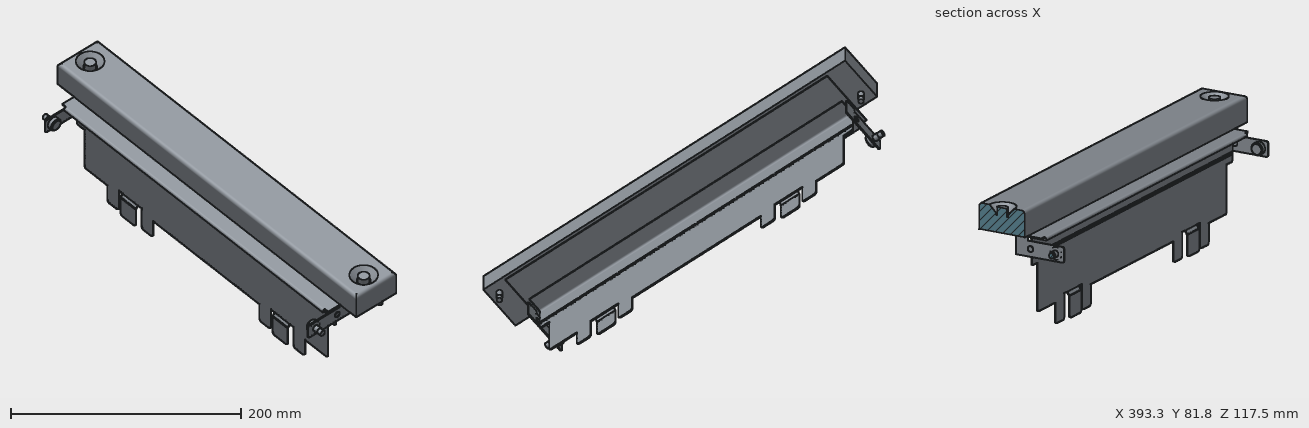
import cadquery as cq

BAR_LENGTH = 393.25
BAR_DEPTH = 46.5
BAR_HEIGHT = 24.5
BAR_TOP_RADIUS = 3.5

SINK_X = 180.0
SINK_Y = -BAR_DEPTH / 2
SINK_TOP_DIAMETER = 25.0
SINK_HOLE_DIAMETER = 12.0
SINK_DEPTH = (SINK_TOP_DIAMETER - SINK_HOLE_DIAMETER) / 2
STRAIGHT_HOLE_DEPTH = 2.0
HOLE_DEPTH = SINK_DEPTH + STRAIGHT_HOLE_DEPTH
SCREW_DIAMETER = 10.3
SCREW_TOP_DEPTH = 1.0

STUD_X = 187.2
STUD_SPACING = 24.9
STUD_DIAMETER = 5.4
STUD_LENGTH = 7.5
STUD_TIP_DIAMETER = 4.7
STUD_TIP_LENGTH = 4.7

SHEET = 1.1

SHELF_LENGTH = 350.0
SHELF_BACK_Y = -3.0
SHELF_FRONT_Y = -60.0

HEM_LENGTH = 341.0
HEM_BACK_Y = -50.5
HEM_FRONT_Y = -62.2
HEM_THICKNESS = 3.0
HEM_RADIUS = 2.2

PANEL_FRONT_Y = -47.5
PANEL_Y_RANGE = (PANEL_FRONT_Y, PANEL_FRONT_Y + SHEET)
PANEL_LEAF_BACK_Y = -31.0
PANEL_BEND_RADIUS = 2.0
PANEL_TOP_Z = -SHEET
PANEL_TOP_LENGTH = 340.0
PANEL_SHOULDER_Z = -28.5
PANEL_LENGTH = 320.0
PANEL_BOTTOM_Z = -73.5
PANEL_CORNER_RADIUS = 2.0

WINDOW_COUNT = 8
WINDOW_PITCH = PANEL_TOP_LENGTH / WINDOW_COUNT
WINDOW_BRIDGE = 2.0
WINDOW_TOP_Z = -19.3
WINDOW_HEIGHT = 2.5

TAB_GROUP_X = 100.0
TAB_OUTER_WIDTH = 15.0
TAB_MIDDLE_WIDTH = 20.0
TAB_GAP = 5.0
TAB_PITCH = (TAB_MIDDLE_WIDTH + TAB_OUTER_WIDTH) / 2 + TAB_GAP
TAB_BOTTOM_Z = -93.0
TAB_GAP_TOP_Z = -69.0
TAB_CORNER_RADIUS = 3.0
JOG_BOTTOM_Z = -72.5
JOG_OFFSET = 2.4

ARM_OUTER_X = 173.5
ARM_BACK_Y = -33.3
ARM_FRONT_Y = -81.8
ARM_TOP_Z = -5.1
ARM_BOTTOM_Z = -19.5
ARM_CORNER_RADIUS = 2.0
ARM_MIDDLE_Z = (ARM_TOP_Z + ARM_BOTTOM_Z) / 2
NECK_FRONT_Y = -45.0
ARM_RECESS_Y = -47.8
ARM_RECESS_DIAMETER = 5.5
ARM_RECESS_DEPTH = SHEET / 2

PIN_Y = -73.2
PIN_HEAD_DIAMETER = 11.6
PIN_HEAD_THICKNESS = 5.0
PIN_HEAD_CHAMFER = 1.0
PIN_DIAMETER = 6.0
PIN_STEP_X = 178.5
PIN_TIP_DIAMETER = 5.3
PIN_TIP_X = 182.8


def block(x_range, y_range, z_range):
    """Box spanning the given ranges."""
    corner = [min(r) for r in (x_range, y_range, z_range)]
    size = [abs(r[1] - r[0]) for r in (x_range, y_range, z_range)]
    return cq.Workplane("XY").box(*size, centered=False).translate(tuple(corner))


def centred(length):
    """Range of the given length about zero."""
    return (-length / 2, length / 2)


def both_ends(shape):
    """The shape together with its mirror image at the other end of the part."""
    return shape.union(shape.mirror("YZ"))


def make_bar():
    bar = block(centred(BAR_LENGTH), (-BAR_DEPTH, 0), (0, BAR_HEIGHT))
    bar = bar.faces(">Z").edges().fillet(BAR_TOP_RADIUS)
    cone = cq.Solid.makeCone(
        SINK_TOP_DIAMETER / 2,
        SINK_HOLE_DIAMETER / 2,
        SINK_DEPTH,
        pnt=cq.Vector(-SINK_X, SINK_Y, BAR_HEIGHT),
        dir=cq.Vector(0, 0, -1),
    )
    start = cq.Workplane("XY", origin=(-SINK_X, SINK_Y, BAR_HEIGHT))
    hole = start.circle(SINK_HOLE_DIAMETER / 2).extrude(-HOLE_DEPTH).union(cq.Workplane(cone))
    screw = start.circle(SCREW_DIAMETER / 2).extrude(-HOLE_DEPTH)
    screw = screw.translate((0, 0, -SCREW_TOP_DEPTH))
    return bar.cut(both_ends(hole)).union(both_ends(screw))


def make_studs():
    stud = cq.Workplane("XY").circle(STUD_DIAMETER / 2).extrude(-STUD_LENGTH)
    stud = stud.faces("<Z").workplane().circle(STUD_TIP_DIAMETER / 2).extrude(STUD_TIP_LENGTH)
    front_left = stud.translate((-STUD_X, SINK_Y - STUD_SPACING / 2, 0))
    rear_right = stud.translate((STUD_X, SINK_Y + STUD_SPACING / 2, 0))
    return front_left.union(rear_right)


def make_shelf():
    shelf = block(centred(SHELF_LENGTH), (SHELF_FRONT_Y, SHELF_BACK_Y), (-SHEET, 0))
    hem = block(centred(HEM_LENGTH), (HEM_FRONT_Y, HEM_BACK_Y), (-HEM_THICKNESS, 0))
    hem = hem.edges("|X and <Y and >Z").fillet(HEM_RADIUS)
    return shelf.union(hem)


def make_upper_sheet():
    """L-section sheet: the upper part of the panel and the leaf under the shelf."""
    y_range = (PANEL_FRONT_Y, PANEL_LEAF_BACK_Y)
    sheet = block(centred(PANEL_TOP_LENGTH), y_range, (PANEL_SHOULDER_Z, PANEL_TOP_Z))
    sheet = sheet.edges("|X and <Y and >Z").fillet(PANEL_BEND_RADIUS + SHEET)
    inside_y = (PANEL_FRONT_Y + SHEET, PANEL_LEAF_BACK_Y)
    inside_z = (PANEL_SHOULDER_Z, PANEL_TOP_Z - SHEET)
    inside = block(centred(PANEL_TOP_LENGTH), inside_y, inside_z)
    return sheet.cut(inside.edges("|X and <Y and >Z").fillet(PANEL_BEND_RADIUS))


def make_outer_tab(centre_x):
    x_range = (centre_x - TAB_OUTER_WIDTH / 2, centre_x + TAB_OUTER_WIDTH / 2)
    tab = block(x_range, PANEL_Y_RANGE, (TAB_BOTTOM_Z, TAB_GAP_TOP_Z))
    return tab.edges("|Y and <Z").fillet(TAB_CORNER_RADIUS)


def make_middle_tab(centre_x):
    """Tab stepped forward by a short sloping jog."""
    back_y = PANEL_FRONT_Y + SHEET
    profile = [
        (back_y, TAB_GAP_TOP_Z),
        (PANEL_FRONT_Y, TAB_GAP_TOP_Z),
        (PANEL_FRONT_Y - JOG_OFFSET, JOG_BOTTOM_Z),
        (PANEL_FRONT_Y - JOG_OFFSET, TAB_BOTTOM_Z),
        (back_y - JOG_OFFSET, TAB_BOTTOM_Z),
        (back_y - JOG_OFFSET, JOG_BOTTOM_Z),
    ]
    left_x = centre_x - TAB_MIDDLE_WIDTH / 2
    outline = cq.Workplane("YZ", origin=(left_x, 0, 0)).polyline(profile).close()
    tab = outline.extrude(TAB_MIDDLE_WIDTH)
    return tab.faces("<Z").edges("|Y").fillet(TAB_CORNER_RADIUS)


def make_panel_plate():
    """Bent upper sheet joined to the narrower lower plate, both with rounded lower corners."""
    upper = make_upper_sheet().edges("|Y and <Z").fillet(PANEL_CORNER_RADIUS)
    lower = block(centred(PANEL_LENGTH), PANEL_Y_RANGE, (PANEL_BOTTOM_Z, WINDOW_TOP_Z))
    lower = lower.edges("|Y and <Z").fillet(PANEL_CORNER_RADIUS)
    return upper.union(lower)


def cut_windows(panel):
    z_range = (WINDOW_TOP_Z - WINDOW_HEIGHT, WINDOW_TOP_Z)
    window = block((WINDOW_BRIDGE / 2, WINDOW_PITCH - WINDOW_BRIDGE / 2), PANEL_Y_RANGE, z_range)
    for index in range(WINDOW_COUNT):
        start_x = index * WINDOW_PITCH - PANEL_TOP_LENGTH / 2
        panel = panel.cut(window.translate((start_x, 0, 0)))
    return panel


def add_tabs(panel):
    notch_width = TAB_MIDDLE_WIDTH + 2 * TAB_GAP
    notch = block(centred(notch_width), PANEL_Y_RANGE, (PANEL_BOTTOM_Z, TAB_GAP_TOP_Z))
    for centre_x in (-TAB_GROUP_X, TAB_GROUP_X):
        panel = panel.cut(notch.translate((centre_x, 0, 0)))
        panel = panel.union(make_middle_tab(centre_x))
        for side in (-1, 1):
            panel = panel.union(make_outer_tab(centre_x + side * TAB_PITCH))
    return panel


def make_panel():
    return add_tabs(cut_windows(make_panel_plate()))


def make_arm():
    x_range = (-ARM_OUTER_X, -ARM_OUTER_X + SHEET)
    arm = block(x_range, (ARM_FRONT_Y, ARM_BACK_Y), (ARM_BOTTOM_Z, ARM_TOP_Z))
    arm = arm.edges("|X and <Y").fillet(ARM_CORNER_RADIUS)
    arm = arm.union(block(x_range, (NECK_FRONT_Y, ARM_BACK_Y), (ARM_TOP_Z, -SHEET)))
    recess = (
        cq.Workplane("YZ", origin=(-ARM_OUTER_X, ARM_RECESS_Y, ARM_MIDDLE_Z))
        .circle(ARM_RECESS_DIAMETER / 2)
        .extrude(ARM_RECESS_DEPTH)
    )
    return arm.cut(recess).union(make_pin())


def make_pin():
    inner_face_x = -ARM_OUTER_X + SHEET
    start = cq.Workplane("YZ", origin=(inner_face_x, PIN_Y, ARM_MIDDLE_Z))
    head = start.circle(PIN_HEAD_DIAMETER / 2).extrude(PIN_HEAD_THICKNESS)
    head = head.faces(">X").chamfer(PIN_HEAD_CHAMFER)
    shank = start.circle(PIN_DIAMETER / 2).extrude(-PIN_STEP_X - inner_face_x)
    tip = start.circle(PIN_TIP_DIAMETER / 2).extrude(-PIN_TIP_X - inner_face_x)
    return head.union(shank).union(tip)


result = (
    make_bar()
    .union(make_studs())
    .union(make_shelf())
    .union(make_panel())
    .union(both_ends(make_arm()))
)